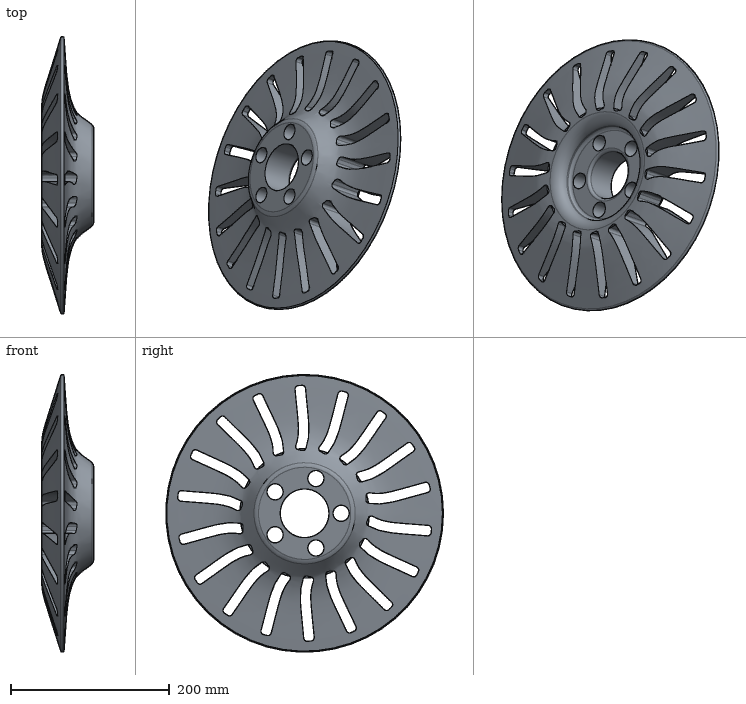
import cadquery as cq
import math


DISC_RADIUS = 175.0
TOTAL_DEPTH = 66.12

CREST_RADIUS = 76.3
FRONT_CURVE_POINTS = [(0.9, 97.0), (4.5, 112.0), (13.5, 140.0)]
FRONT_FLANK_ANGLE = 17.5

RIM_FRONT = (23.8, 173.0)
RIM_CREST_X = 26.2
RIM_BACK = (28.5, 173.6)

BACK_CURVE_POINTS = [(30.2, 150.0), (32.5, 121.0), (36.2, 99.0), (41.4, 84.5), (44.0, 80.0)]
CONE_ANGLE = 49.5
HUB_EDGE_FILLET = 8.0

FLOOR_X = 21.5
RECESS_RADIUS = 61.2
RECESS_FLOOR_FILLET = 4.2

BORE_RADIUS = 30.5
BORE_EDGE_FILLET = 3.8
BOLT_COUNT = 5
BOLT_CIRCLE_RADIUS = 46.0
BOLT_HOLE_DIAMETER = 20.0

SLOT_COUNT = 18
SLOT_WIDTH = 13.0
SLOT_CORNER_RADIUS = 4.0
SLOT_STRAIGHT = 48.7
SLOT_BEND_RADIUS = 70.0
SLOT_INNER_SIDE_BEND = 28.5
SLOT_OUTER_SIDE_BEND = 26.4
SLOT_TILT = 5.3
SLOT_BEND_Y = -1.35
SLOT_BEND_Z = 112.4


def round_edge(solid, x, edge_radius, fillet):
    """Fillet the circular edge of the given radius that lies at the given x."""
    reach = 0.01
    ring = cq.selectors.BoxSelector(
        (x - reach, -DISC_RADIUS, -DISC_RADIUS), (x + reach, DISC_RADIUS, DISC_RADIUS)
    )
    circles = solid.edges("%CIRCLE").edges(ring)
    matching = [edge for edge in circles.vals() if abs(edge.radius() - edge_radius) < reach]
    return solid.newObject(matching).fillet(fillet)


def make_body():
    """Turned disc with its recess, bore and rounded edges."""
    cone_start = BACK_CURVE_POINTS[-1]
    cone_slope = math.tan(math.radians(CONE_ANGLE))
    hub_radius = cone_start[1] - (TOTAL_DEPTH - cone_start[0]) / cone_slope
    cone_middle = ((cone_start[0] + TOTAL_DEPTH) / 2, (cone_start[1] + hub_radius) / 2)
    flank = math.radians(FRONT_FLANK_ANGLE)
    lip_radius = CREST_RADIUS - RECESS_RADIUS
    profile = (
        cq.Workplane("XY")
        .moveTo(0, CREST_RADIUS)
        .spline(
            FRONT_CURVE_POINTS + [RIM_FRONT],
            tangents=[(0, 1), (math.sin(flank), math.cos(flank))],
            includeCurrent=True,
        )
        .threePointArc((RIM_CREST_X, DISC_RADIUS), RIM_BACK)
        .spline(BACK_CURVE_POINTS + [cone_middle, (TOTAL_DEPTH, hub_radius)], includeCurrent=True)
        .lineTo(TOTAL_DEPTH, BORE_RADIUS)
        .lineTo(FLOOR_X, BORE_RADIUS)
        .lineTo(FLOOR_X, RECESS_RADIUS)
        .lineTo(lip_radius, RECESS_RADIUS)
        .radiusArc((0, CREST_RADIUS), lip_radius)
        .close()
    )
    body = profile.revolve(360, (0, 0, 0), (1, 0, 0))
    body = round_edge(body, TOTAL_DEPTH, hub_radius, HUB_EDGE_FILLET)
    body = round_edge(body, FLOOR_X, RECESS_RADIUS, RECESS_FLOOR_FILLET)
    return round_edge(body, FLOOR_X, BORE_RADIUS, BORE_EDGE_FILLET)


def make_bolt_holes():
    return (
        cq.Workplane("YZ")
        .polarArray(BOLT_CIRCLE_RADIUS, 0, 360, BOLT_COUNT)
        .circle(BOLT_HOLE_DIAMETER / 2)
        .extrude(TOTAL_DEPTH)
    )


def make_slot():
    """Cutter for one slot, first drawn with its bend start at the origin and straight run along +Z."""
    half_width = SLOT_WIDTH / 2

    def direction(bend):
        return (-math.sin(bend), -math.cos(bend))

    def on_bend(offset, angle):
        radius = SLOT_BEND_RADIUS + offset
        return (radius * math.cos(angle) - SLOT_BEND_RADIUS, -radius * math.sin(angle))

    def side(offset, bend):
        """Points along one side, from the outer end to the inner end."""
        points = [(offset, SLOT_STRAIGHT), (offset, SLOT_STRAIGHT / 2)]
        points += [on_bend(offset, bend * part) for part in (0, 0.5, 1)]
        return points

    inner_bend = math.radians(SLOT_INNER_SIDE_BEND)
    outer_bend = math.radians(SLOT_OUTER_SIDE_BEND)
    inner = side(-half_width, inner_bend)
    outer = side(half_width, outer_bend)
    return (
        cq.Workplane("YZ")
        .moveTo(*outer[0])
        .spline(outer[1:], tangents=[direction(0), direction(outer_bend)], includeCurrent=True)
        .lineTo(*inner[-1])
        .spline(
            inner[-2::-1],
            tangents=[direction(inner_bend + math.pi), direction(math.pi)],
            includeCurrent=True,
        )
        .close()
        .extrude(TOTAL_DEPTH)
        .edges("|X")
        .fillet(SLOT_CORNER_RADIUS)
        .rotate((0, 0, 0), (1, 0, 0), SLOT_TILT)
        .translate((0, SLOT_BEND_Y, SLOT_BEND_Z))
    )


def make_all_slots():
    slot = make_slot()
    slots = cq.Workplane("YZ")
    for index in range(SLOT_COUNT):
        slots = slots.add(slot.rotate((0, 0, 0), (1, 0, 0), index * 360 / SLOT_COUNT))
    return slots.combine()


result = make_body().cut(make_bolt_holes()).cut(make_all_slots())